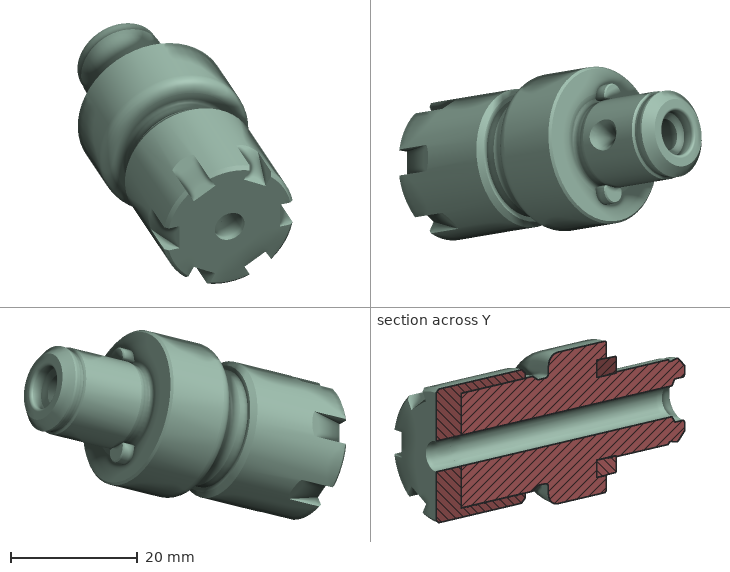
import cadquery as cq
import math


flange_back = 16.0
flange_front = 28.0
nut_back = 32.65
spigot_front = 45.9
overall_length = 51.0

shank_diameter = 14.0
shank_radius = shank_diameter / 2
shank_tip_radius = 5.35
tip_land_radius = 6.9
tip_chamfer_length = 1.45
tip_land_end = 1.75
tip_groove_end = 3.4
tip_groove_rise = 0.3
tip_groove_flat = 0.3
relief_start = 14.0
relief_radius = 6.8
relief_blend = 0.15
relief_angle = 15
relief_fillet = 0.6
face_relief_depth = 0.1
face_relief_radius = 8.15

flange_radius = 12.5
flange_chamfer = 0.35
flange_fillet = 2.0
neck_radius = 8.7
neck_fillet = 0.6
neck_end = 29.95
neck_cone_angle = 40
spigot_radius = 9.5
spigot_start = 31.15

bore_radius = 2.5
counterbore_radius = 3.5
counterbore_lip = 0.5
counterbore_end = 2.05
bore_cone_angle = 60

dimple_place = 9.7
dimple_radius = 2.9
dimple_clearance = 0.5

key_radius = 2.0
key_center = 7.6
key_bottom = 6.85
key_corner = 0.5
key_edge_chamfer = 0.2
key_projection = 2.0
key_depth = 2.0

nut_radius = 11.0
nut_back_chamfer = 0.8
nut_front_chamfer = 0.55
slot_count = 6
slot_half_width = 2.1
slot_start = 43.95
slot_angle = 20


def revolve_about_x(outline):
    """Close an (x, radius) outline drawn in the XZ plane and turn it around the X axis."""
    return outline.close().revolve(360, (0, 0, 0), (1, 0, 0))


def holder_blank():
    slope = math.tan(math.radians(relief_angle))
    blend_drop = relief_blend * math.tan(math.radians(relief_angle / 2))

    groove_flat_end = tip_groove_end - tip_groove_rise
    groove_blend_end = groove_flat_end - tip_groove_flat
    groove_cone_start = tip_land_end + relief_blend
    groove_cone_end = groove_blend_end - relief_blend
    groove_cone_drop = (groove_cone_end - groove_cone_start) * slope
    groove_radius = tip_land_radius - groove_cone_drop - 2 * blend_drop

    relief_cone_drop = shank_radius - relief_radius - blend_drop
    relief_cone_end = relief_start + relief_cone_drop / slope
    relief_depth_x = flange_back + face_relief_depth

    neck_sine = math.sin(math.radians(neck_cone_angle))
    neck_cosine = math.cos(math.radians(neck_cone_angle))

    outline = (
        cq.Workplane("XZ")
        .moveTo(0, 0)
        .lineTo(0, shank_tip_radius)
        .lineTo(tip_chamfer_length, tip_land_radius)
        .lineTo(tip_land_end, tip_land_radius)
        .tangentArcPoint((groove_cone_start, tip_land_radius - blend_drop), relative=False)
        .lineTo(groove_cone_end, groove_radius + blend_drop)
        .tangentArcPoint((groove_blend_end, groove_radius), relative=False)
        .lineTo(groove_flat_end, groove_radius)
        .lineTo(tip_groove_end, shank_radius)
        .lineTo(relief_start, shank_radius)
        .lineTo(relief_cone_end, relief_radius + blend_drop)
        .tangentArcPoint((relief_cone_end + relief_blend, relief_radius), relative=False)
        .lineTo(relief_depth_x - relief_fillet, relief_radius)
        .tangentArcPoint((relief_depth_x, relief_radius + relief_fillet), relative=False)
        .lineTo(flange_back, face_relief_radius)
        .lineTo(flange_back, flange_radius - flange_chamfer)
        .lineTo(flange_back + flange_chamfer, flange_radius)
        .lineTo(flange_front - flange_fillet, flange_radius)
        .tangentArcPoint((flange_front, flange_radius - flange_fillet), relative=False)
        .lineTo(flange_front, neck_radius + neck_fillet)
        .tangentArcPoint((flange_front + neck_fillet, neck_radius), relative=False)
        .lineTo(neck_end, neck_radius)
        .tangentArcPoint(
            (neck_end + neck_fillet * neck_sine, neck_radius + neck_fillet * (1 - neck_cosine)),
            relative=False,
        )
        .lineTo(spigot_start, spigot_radius)
        .lineTo(spigot_front, spigot_radius)
        .lineTo(spigot_front, 0)
    )
    return revolve_about_x(outline)


def stepped_bore():
    cone_length = (counterbore_radius - bore_radius) / math.tan(math.radians(bore_cone_angle))
    outline = (
        cq.Workplane("XZ")
        .moveTo(0, 0)
        .lineTo(0, counterbore_radius + counterbore_lip)
        .radiusArc((counterbore_lip, counterbore_radius), -counterbore_lip)
        .lineTo(counterbore_end, counterbore_radius)
        .lineTo(counterbore_end + cone_length, bore_radius)
        .lineTo(spigot_front, bore_radius)
        .lineTo(spigot_front, 0)
    )
    return revolve_about_x(outline)


def shank_dimple():
    """A 90 degree cone pointing inward along -Y; its mouth stands clear of the shank."""
    mouth_radius = dimple_radius + dimple_clearance
    cone = cq.Solid.makeCone(
        mouth_radius, 0, mouth_radius,
        pnt=cq.Vector(dimple_place, shank_radius + dimple_clearance, 0),
        dir=cq.Vector(0, -1, 0),
    )
    return cq.Workplane(cone)


def drive_key(turn):
    """A key with a round outer end, turned about X to its place around the shank."""
    key = (
        cq.Workplane("YZ", origin=(flange_back - key_projection, 0, 0))
        .moveTo(key_radius, key_center)
        .threePointArc((0, key_center + key_radius), (-key_radius, key_center))
        .lineTo(-key_radius, key_bottom + key_corner)
        .tangentArcPoint((-key_radius + key_corner, key_bottom), relative=False)
        .lineTo(key_radius - key_corner, key_bottom)
        .tangentArcPoint((key_radius, key_bottom + key_corner), relative=False)
        .close()
        .extrude(key_projection + key_depth)
        .faces("<X").chamfer(key_edge_chamfer)
    )
    return key.rotate((0, 0, 0), (1, 0, 0), turn)


def make_holder(keys):
    holder = holder_blank().cut(stepped_bore()).cut(shank_dimple())
    for key in keys:
        holder = holder.cut(key)
    return holder


def nut_slot(turn):
    """A wedge whose floor dips toward the axis at the front of the nut."""
    slot_length = overall_length - slot_start
    floor_radius = nut_radius - slot_length * math.tan(math.radians(slot_angle))
    wedge = (
        cq.Workplane("XZ")
        .moveTo(slot_start, nut_radius)
        .lineTo(overall_length, nut_radius)
        .lineTo(overall_length, floor_radius)
        .close()
        .extrude(slot_half_width, both=True)
    )
    return wedge.rotate((0, 0, 0), (1, 0, 0), turn)


def make_nut():
    nut = (
        cq.Workplane("YZ", origin=(nut_back, 0, 0))
        .circle(nut_radius)
        .extrude(overall_length - nut_back)
        .faces("<X").chamfer(nut_back_chamfer)
        .faces(">X").chamfer(nut_front_chamfer)
    )
    spigot_seat = (
        cq.Workplane("YZ", origin=(nut_back, 0, 0))
        .circle(spigot_radius)
        .extrude(spigot_front - nut_back)
    )
    mouth = (
        cq.Workplane("YZ", origin=(spigot_front, 0, 0))
        .circle(bore_radius)
        .extrude(overall_length - spigot_front)
    )
    nut = nut.cut(spigot_seat).cut(mouth)
    first_slot = 90
    for i in range(slot_count):
        nut = nut.cut(nut_slot(first_slot + i * 360 / slot_count))
    return nut


drive_keys = [drive_key(turn) for turn in (0, 180)]
holder = make_holder(drive_keys)
nut = make_nut()

result = cq.Compound.makeCompound([holder.val(), nut.val(), *[key.val() for key in drive_keys]])